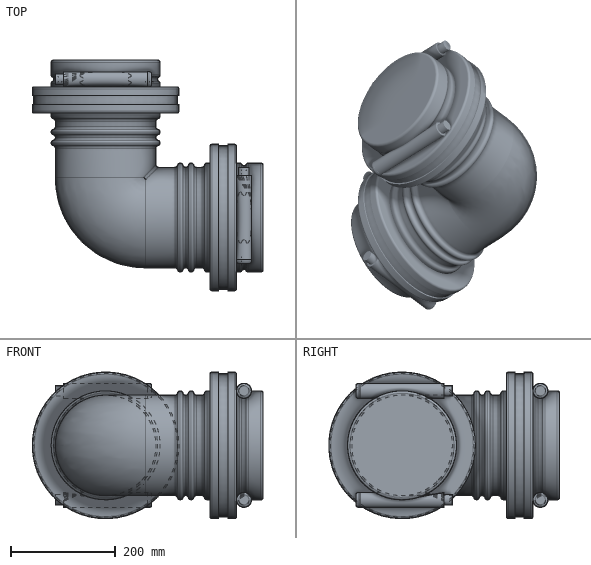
import cadquery as cq
import math


pipe_radius = 192.0 / 2
collar_radius = 208.0 / 2
bend_radius = 76.0
arm_length = 300.8
end_fillet = 4.8
mitre_fillet = 4.8

rib_centres = (142.4, 163.2)
rib_rise_length = 10.2
shoulder_start = 183.6

flange_radius = 280.0 / 2
flange_start = 199.2
flange_width = 50.4
flange_fillet = 4.0
flange_band_radius = 274.4 / 2
flange_band_width = 17.6

rod_diameter = 28.6
rod_cap_diameter = 28.8
rod_stub_diameter = 20.16
rod_half_length = 80.0
rod_cap_length = 8.0
rod_cap_fillet = 4.8
rod_stub_length = 16.0
groove_width = 17.2
groove_depth = 4.8

flange_end = flange_start + flange_width
flange_middle = flange_start + flange_width / 2
rod_axis_x = flange_end + rod_cap_diameter / 2


def s_curve(outline, length, rise):
    """Continue a level outline with two equal tangent arcs that end level again."""
    half_step = (length / 2, rise / 2)
    return outline.tangentArcPoint(half_step).tangentArcPoint(half_step)


def arm_body():
    """Pipe, ribs, shoulder and end sleeve as one turned solid along +X."""
    step = collar_radius - pipe_radius
    groove_start = rod_axis_x - groove_width / 2

    outline = cq.Workplane("XY").moveTo(bend_radius, 0).lineTo(bend_radius, pipe_radius)
    for rib_centre in rib_centres:
        outline = outline.lineTo(rib_centre - rib_rise_length, pipe_radius)
        outline = s_curve(outline, rib_rise_length, step)
        outline = s_curve(outline, rib_rise_length, -step)
    outline = outline.lineTo(shoulder_start, pipe_radius)
    outline = s_curve(outline, rib_rise_length, step)
    outline = outline.lineTo(groove_start, collar_radius)
    outline = s_curve(outline, groove_width / 2, -groove_depth)
    outline = s_curve(outline, groove_width / 2, groove_depth)
    outline = outline.lineTo(arm_length, collar_radius).lineTo(arm_length, 0).close()
    body = outline.revolve(360, (0, 0, 0), (1, 0, 0))
    return body.faces(">X").edges().fillet(end_fillet)


def disc_along_x(start, width, radius):
    """Plain disc centred on the X axis."""
    return cq.Workplane("YZ", origin=(start, 0, 0)).circle(radius).extrude(width)


def flange():
    """Wide disc with rounded outer corners and a shallow band around its rim."""
    disc = disc_along_x(flange_start, flange_width, flange_radius).edges().fillet(flange_fillet)
    band_start = flange_middle - flange_band_width / 2
    band = disc_along_x(band_start, flange_band_width, flange_radius)
    band_core = disc_along_x(band_start, flange_band_width, flange_band_radius)
    return disc.cut(band.cut(band_core))


def clamp_rod(height):
    """Rod along Y: narrow stub at its +Y end, rounded cap at its -Y end."""

    def rod_piece(start_y, diameter, length):
        plane = cq.Workplane("XZ", origin=(rod_axis_x, start_y, height))
        return plane.circle(diameter / 2).extrude(-length)

    rod = rod_piece(-rod_half_length, rod_diameter, 2 * rod_half_length)
    stub = rod_piece(rod_half_length, rod_stub_diameter, rod_stub_length)
    cap = rod_piece(-rod_half_length - rod_cap_length, rod_cap_diameter, rod_cap_length)
    cap = cap.faces("<Y").edges().fillet(rod_cap_fillet)
    return rod.union(stub).union(cap)


def bend():
    """Quarter turn of the pipe section about the vertical line where the arms begin."""
    cut_half_height = math.sqrt(pipe_radius**2 - bend_radius**2)
    section = (
        cq.Workplane("XZ", origin=(0, bend_radius, 0))
        .moveTo(bend_radius, -cut_half_height)
        .threePointArc((-pipe_radius, 0), (bend_radius, cut_half_height))
        .close()
    )
    return section.revolve(90, (bend_radius, 0, 0), (bend_radius, 1, 0))


def turned_to_y(shape):
    """Copy of a shape on the X arm, turned onto the Y arm."""
    return shape.rotate((0, 0, 0), (0, 0, 1), 90)


def filleted_crotch():
    """Inside corner of two crossing plain pipes, cut off square to the corner and rounded."""
    length = rib_centres[0] - rib_rise_length
    straight = disc_along_x(0, length, pipe_radius)
    block_size = 2 * length
    block_start = (2 * bend_radius - mitre_fillet / 2) / math.sqrt(2)
    inside_block = (
        cq.Workplane("XY")
        .box(block_size, block_size, block_size, centered=(False, True, True))
        .translate((block_start, 0, 0))
        .rotate((0, 0, 0), (0, 0, 1), 45)
    )
    crotch = straight.union(turned_to_y(straight)).intersect(inside_block)
    return crotch.edges("%ELLIPSE").edges(">(1, 1, 0)").fillet(mitre_fillet)


def elbow_pipe():
    """Both arm bodies joined by the bend, with the inside corner rounded."""
    body = arm_body()
    pipe = body.union(turned_to_y(body)).union(bend())
    return pipe.union(filleted_crotch())


arm_fittings = flange()
for rod_height in (-collar_radius, collar_radius):
    arm_fittings = arm_fittings.union(clamp_rod(rod_height))

result = elbow_pipe().union(arm_fittings).union(turned_to_y(arm_fittings))